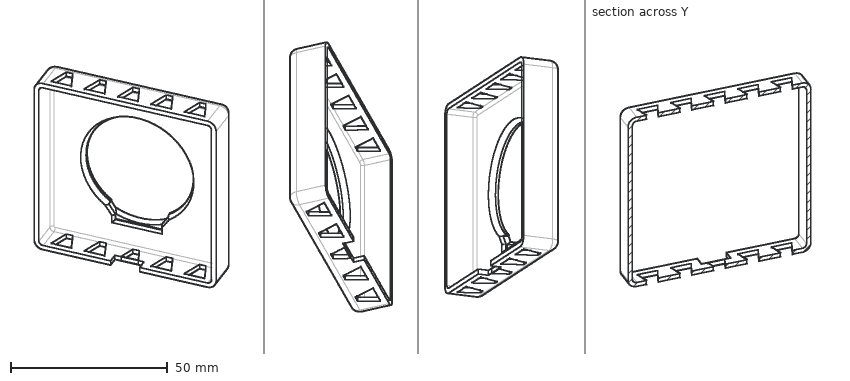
import cadquery as cq
import math

side = 63.0
depth = 13.0
outer_radius = 3.0
wall = 1.65
plate = 3.0
inner_radius = outer_radius - wall
floor_fillet = 1.0

lip = 1.0
mouth_radius = 19.6
window_radius = 18.6
taper_depth = plate - lip

recess_floor = 1.5
bevel_depth = 1.0
bevel_inset = 0.75
bevel_angle = math.degrees(math.atan(bevel_inset / bevel_depth))
recess_half_width = 8.75
recess_bottom = -22.2
recess_shoulder = -19.5
flare_half_width = 11.1
flare_height = -math.sqrt(mouth_radius**2 - flare_half_width**2)
flare_apex = 12.6
scoop_radius = 21.4
scoop_floor_radius = 22.4
scoop_height = 1.4

vent_count = 5
vent_pitch = 11.5
vent_base = 7.0
vent_tip = 2.2
vent_length = 6.85
vent_rim_gap = 2.2

notch_width = 10.0
notch_depth = 3.6
bar_thickness = 0.25


def xz_plane(y):
    """Workplane facing the open side (-Y), local axes along X and Z."""
    return cq.Workplane("XZ", origin=(0, y, 0))


def cone(inner_y, length, inner_side_radius, outer_side_radius, z):
    """Frustum along +Y, starting at inner_y."""
    return cq.Workplane(cq.Solid.makeCone(
        inner_side_radius, outer_side_radius, length,
        pnt=cq.Vector(0, inner_y, z), dir=cq.Vector(0, 1, 0)))


def make_shell():
    body = xz_plane(0).rect(side, side).extrude(depth)
    body = body.edges("|Y").fillet(outer_radius)
    body = body.faces(">Y").edges().fillet(outer_radius)
    opening = side - 2 * wall
    cavity = xz_plane(-plate).rect(opening, opening).extrude(depth - plate)
    cavity = cavity.edges("|Y").fillet(inner_radius)
    cavity = cavity.faces(">Y").edges().fillet(floor_fillet)
    return body.cut(cavity)


def make_window():
    mouth = cone(-plate, taper_depth, mouth_radius, window_radius, 0)
    bore = xz_plane(0).circle(window_radius).extrude(lip)
    return mouth.union(bore)


def make_recess():
    inside = cq.Plane(origin=(0, -plate, 0), xDir=(-1, 0, 0), normal=(0, 1, 0))
    outline = [
        (0, flare_apex),
        (flare_half_width, flare_height),
        (recess_half_width, recess_shoulder),
        (recess_half_width, recess_bottom),
        (-recess_half_width, recess_bottom),
        (-recess_half_width, recess_shoulder),
        (-flare_half_width, flare_height),
    ]
    bevel = cq.Workplane(inside).polyline(outline).close().extrude(bevel_depth, taper=bevel_angle)
    straight_depth = plate - recess_floor - bevel_depth
    straight = bevel.faces(">Y").wires().toPending().workplane().extrude(straight_depth, combine=False)
    through = straight.faces(">Y").wires().toPending().workplane().extrude(recess_floor, combine=False)
    scoop = cone(-recess_floor, recess_floor, scoop_floor_radius, scoop_radius, scoop_height)
    return bevel.union(straight).union(through.intersect(scoop))


def make_vents():
    base_y = vent_rim_gap - depth
    tip_y = base_y + vent_length
    outline = [
        (-vent_base / 2, base_y),
        (vent_base / 2, base_y),
        (vent_tip / 2, tip_y),
        (-vent_tip / 2, tip_y),
    ]
    vent = cq.Workplane("XY", origin=(0, 0, -side / 2)).polyline(outline).close().extrude(side)
    vents = cq.Workplane("XY")
    for i in range(vent_count):
        vents = vents.add(vent.translate(((i - (vent_count - 1) / 2) * vent_pitch, 0, 0)))
    return vents.combine()


def bottom_wall_block(length):
    """Block as wide as the notch, filling the bottom wall from the rim inwards."""
    return cq.Workplane("XY").box(notch_width, length, wall, centered=(True, False, False)).translate(
        (0, -depth, -side / 2))


result = make_shell().cut(make_window()).cut(make_recess()).cut(make_vents())
result = result.union(bottom_wall_block(notch_depth + bar_thickness))
result = result.cut(bottom_wall_block(notch_depth))